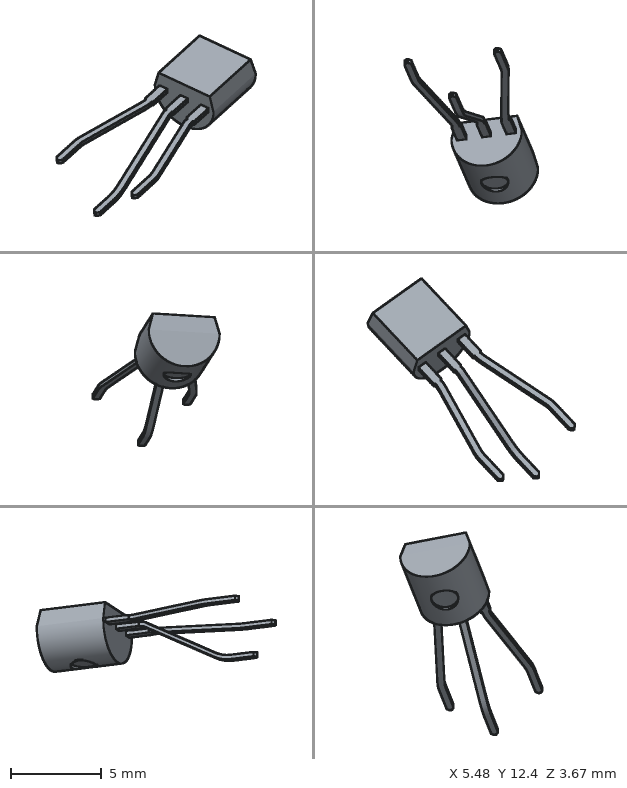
import cadquery as cq
import math


overall_length = 12.4

body_radius = 2.0
body_length = 4.0
body_top = 1.0
flat_width = 3.47
back_draft = 0.12
ejector_diameter = 1.5
ejector_depth = 0.2

lead_width = 0.4
lead_thickness = 0.25
lead_reach = overall_length - body_length
tip_chamfer = 0.15
shoulder_length = 1.38
outer_shoulder_width = 0.53
middle_shoulder_width = 0.5
root_pitch = 1.4
tip_pitch = 2.54
first_corner = -1.61
second_corner = -6.37
bend_radius = 2.0
tight_bend_radius = 0.5


def make_body():
    profile = (
        cq.Workplane("XZ")
        .moveTo(-body_radius, 0)
        .threePointArc((0, -body_radius), (body_radius, 0))
        .lineTo(flat_width / 2, body_top)
        .lineTo(-flat_width / 2, body_top)
        .close()
    )
    body = profile.extrude(-body_length)
    draft_wedge = (
        cq.Workplane("YZ")
        .polyline([(body_length, 0), (body_length, body_top), (body_length - back_draft, body_top)])
        .close()
        .extrude(body_radius, both=True)
    )
    ejector_mark = (
        cq.Workplane("XY", origin=(0, body_length / 2, -body_radius))
        .circle(ejector_diameter / 2)
        .extrude(ejector_depth)
    )
    return body.cut(draft_wedge).cut(ejector_mark)


def make_lead(root_x, shift, plane, first_radius, shoulder_width):
    """Lead whose tip is offset by shift along the local x axis of the bending plane."""
    angle = math.atan2(abs(shift), first_corner - second_corner)
    sideways = math.copysign(math.sin(angle), shift)
    first_setback = first_radius * math.tan(angle / 2)
    second_setback = bend_radius * math.tan(angle / 2)
    path = (
        cq.Workplane(plane)
        .lineTo(0, first_corner + first_setback)
        .tangentArcPoint(
            (first_setback * sideways, first_corner - first_setback * math.cos(angle)), relative=False
        )
        .lineTo(shift - second_setback * sideways, second_corner + second_setback * math.cos(angle))
        .tangentArcPoint((shift, second_corner - second_setback), relative=False)
        .lineTo(shift, -lead_reach)
    )
    blade = (
        cq.Workplane("XZ", origin=(root_x, 0, 0))
        .rect(lead_width, lead_thickness)
        .sweep(path)
        .faces("<Y")
        .edges("|Z")
        .chamfer(tip_chamfer)
    )
    shoulder = (
        cq.Workplane("XZ", origin=(root_x, 0, 0))
        .rect(shoulder_width, lead_thickness)
        .extrude(shoulder_length)
    )
    return shoulder.union(blade)


def make_outer_lead(side):
    root_x = side * root_pitch
    spread = side * (tip_pitch - root_pitch)
    plane = cq.Plane(origin=(root_x, 0, 0), xDir=(1, 0, 0), normal=(0, 0, 1))
    return make_lead(root_x, spread, plane, bend_radius, outer_shoulder_width)


def make_middle_lead():
    plane = cq.Plane(origin=(0, 0, 0), xDir=(0, 0, 1), normal=(-1, 0, 0))
    return make_lead(0, -tip_pitch, plane, tight_bend_radius, middle_shoulder_width)


result = make_body().union(make_middle_lead())
for side in (-1, 1):
    result = result.union(make_outer_lead(side))